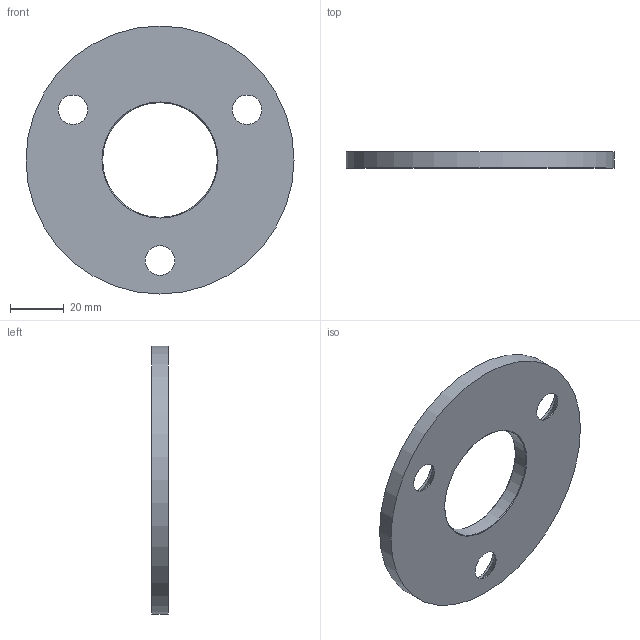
import cadquery as cq

outer_diameter = 100.0
thickness = 6.0
bore_diameter = 42.8
bore_chamfer = 0.25

hole_diameter = 11.0
hole_circle_diameter = 75.0
hole_count = 3
first_hole_angle = -90.0

head_diameter = 20.5
head_recess_depth = 1.0
cone_depth = (head_diameter - hole_diameter) / 2
cone_end = thickness - head_recess_depth
cone_start = cone_end - cone_depth


def ring():
    """Disc with a central bore."""
    return (
        cq.Workplane("XZ")
        .circle(outer_diameter / 2)
        .circle(bore_diameter / 2)
        .extrude(-thickness)
    )


def chamfer_bore(body):
    """Break both edges of the bore, on the front and back faces."""
    bore_edges = cq.selectors.RadiusNthSelector(0)
    return body.faces("|Y").edges(bore_edges).chamfer(bore_chamfer)


def countersunk_hole():
    """Cutter for one fixing hole on the Y axis: short land, cone, then head recess."""
    hole_radius = hole_diameter / 2
    head_radius = head_diameter / 2
    half_profile = (
        cq.Workplane("XY")
        .lineTo(hole_radius, 0)
        .lineTo(hole_radius, cone_start)
        .lineTo(head_radius, cone_end)
        .lineTo(head_radius, thickness)
        .lineTo(0, thickness)
        .close()
    )
    return half_profile.revolve(360, (0, 0), (0, 1))


def fixing_holes():
    """All the fixing hole cutters, placed around the hole circle."""
    cutter = countersunk_hole().translate((hole_circle_diameter / 2, 0, 0))
    cutters = cq.Workplane("XZ")
    for index in range(hole_count):
        angle = first_hole_angle + index * 360 / hole_count
        cutters = cutters.add(cutter.rotate((0, 0, 0), (0, -1, 0), angle))
    return cutters.combine()


result = chamfer_bore(ring()).cut(fixing_holes())